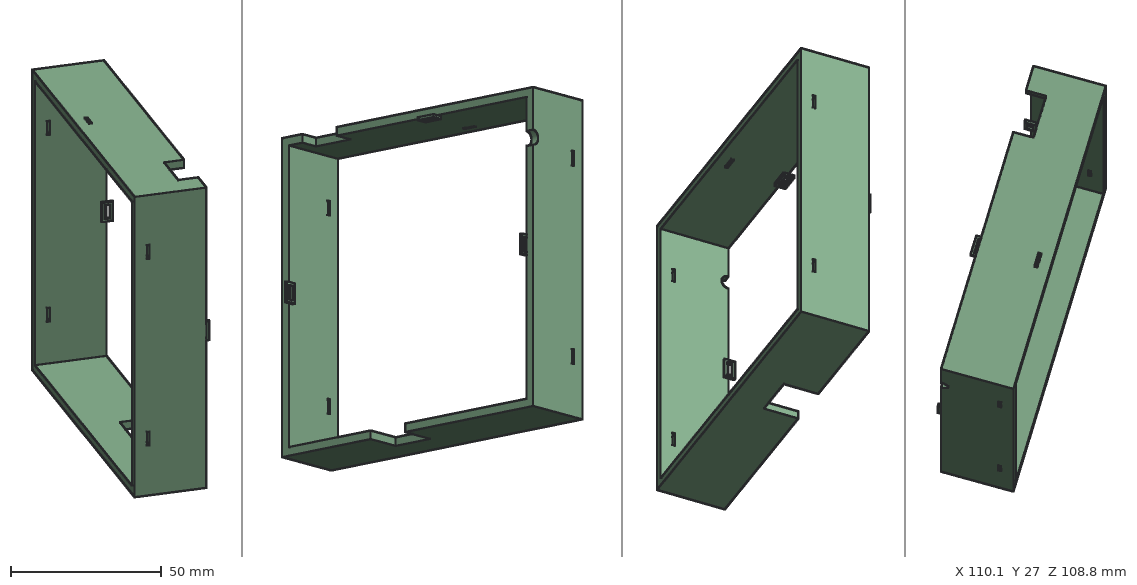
import cadquery as cq

width = 110.1
height = 108.8
depth = 25.0
wall = 3.0

slot_length = 5.0
slot_width = 1.0
slot_setback = 4.7
side_slot_inset = 20.6

clip_overhang = 2.0
clip_length = 4.0
clip_rim = 1.0
clip_thickness = 1.0
clip_width = slot_length + 2 * clip_rim
top_clip_x = 45.5
side_clip_z = 55.5

notch_width = 15.1
top_notch_x = 86.1
top_notch_depth = 6.9
bottom_notch_x = 56.2
bottom_notch_depth = 12.7
cable_notch_radius = 2.5
cable_notch_drop = 17.1


def box(x, y, z, size_x, size_y, size_z):
    """Box with its lowest corner at (x, y, z)."""
    return cq.Workplane("XY").box(size_x, size_y, size_z, centered=False).translate((x, y, z))


def side_clip(x):
    """Rectangular window clip standing against a side wall, its lower X face at x."""
    clip_y = depth + clip_overhang - clip_length
    clip_z = side_clip_z - clip_width / 2
    window_length = clip_length - 2 * clip_rim
    plate = box(x, clip_y, clip_z, clip_thickness, clip_length, clip_width)
    window = box(x, clip_y + clip_rim, clip_z + clip_rim, clip_thickness, window_length, slot_length)
    return plate.cut(window)


def top_clip():
    """The same clip turned a quarter to lie under the top wall."""
    clip = side_clip(0).translate((0, 0, -side_clip_z))
    clip = clip.rotate((0, 0, 0), (0, 1, 0), 90)
    return clip.translate((top_clip_x, 0, height - wall))


def frame():
    outer = box(0, 0, 0, width, depth, height)
    opening = box(wall, 0, wall, width - 2 * wall, depth, height - 2 * wall)
    return outer.cut(opening)


def back_notch(x, z, notch_depth):
    """Rectangular notch through a horizontal wall whose underside is at z."""
    return box(x, depth - notch_depth, z, notch_width, notch_depth, wall)


result = frame()

slot_y = slot_setback - slot_width / 2
for slot_z in (side_slot_inset, height - side_slot_inset):
    result = result.cut(box(0, slot_y, slot_z - slot_length / 2, width, slot_width, slot_length))
result = result.cut(
    box(top_clip_x - slot_length / 2, slot_y, height - wall, slot_length, slot_width, wall)
)

result = result.cut(back_notch(top_notch_x, height - wall, top_notch_depth))
result = result.cut(back_notch(bottom_notch_x, 0, bottom_notch_depth))

cable_notch = (
    cq.Workplane("YZ").center(depth, height - cable_notch_drop).circle(cable_notch_radius).extrude(wall)
)
result = result.cut(cable_notch)

result = result.union(side_clip(wall))
result = result.union(side_clip(width - wall - clip_thickness))
result = result.union(top_clip())